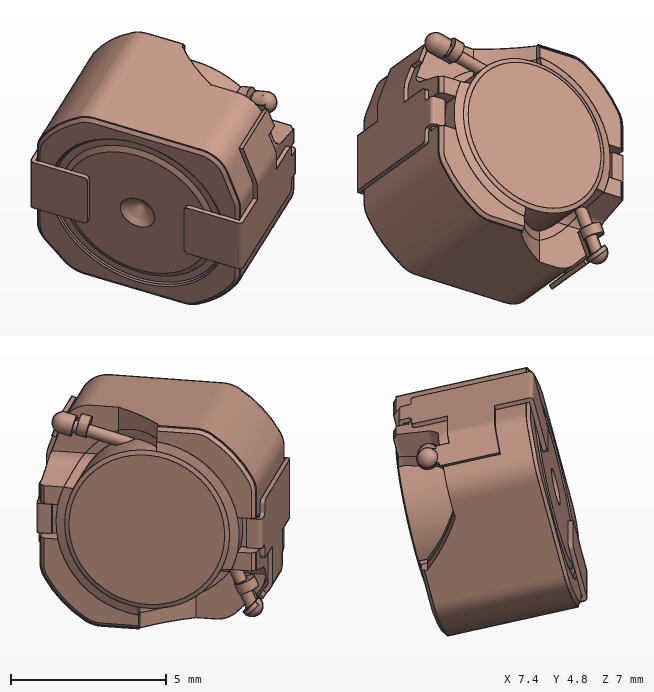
import cadquery as cq
import math


plate = 0.15
pad_half_width = 1.0
pad_tip_x = 1.68
plate_corner = 0.15
bend_radius = 0.13
side_top_y = 4.02
tab_half_width = 0.5
neck_fillet = 0.1
tab_top_y = 4.45
tab_tip_x = 3.2
arm_low_y = 1.27
arm_high_y = 2.82

ring_half_x = 3.55
ring_half_z = 3.5
ring_corner_circle = 3.94
ring_fillet = 1.0
ring_front_y = plate
ring_back_y = 4.67
rim_ledge = 0.04
rim_chamfer = 0.11
bore_radius = 3.0
bore_chamfer = 0.05
adhesive_front_y = ring_front_y + 2 * bore_chamfer
slot_half_width = 0.59
slot_floor_y = 4.14

window_floor_y = 3.16
window_reach_x = -0.3
window_foot_x = 1.27
window_shoulder_y = 4.46
window_bow = (0.34, 3.83)
window_reach_z = 1.2
window_foot_z = 1.85
window_bend = (1.49, 3.47)
window_bend_mid = (1.62, 3.3)

drum_radius = 2.7
drum_back_y = 4.8
drum_front_chamfer = 0.19
drum_back_chamfer_side = 0.15
drum_back_chamfer_depth = 0.05
dimple_radius = 0.6
dimple_inner_radius = 0.44
dimple_rim_depth = 0.16
dimple_depth = 0.45

wire_radius = 0.2
wire_y = 3.59
wire_length = 3.0
solder_radius = 0.35
crimp_length = 0.34
crimp_offset = 0.12
strip_half_width = 0.15
strip_low_y = 3.23
riser_top_y = 3.26
eye_neck = 0.25
eye_slot = 0.22
strip_top_y = 3.41

upper_corner = dict(
    angle=20, flat=3.885, arm=4.05, bend=1.05, tip_z=3.06,
    dome=(3.0, 3.0), wire_angle=14, barrel=0.37, crimp_start=0.51, eye=False,
)
lower_corner = dict(
    angle=224, flat=4.1, arm=4.333, bend=0.54, tip_z=-3.12,
    dome=(-3.2, -2.79), wire_angle=246, barrel=0.0, crimp_start=0.56, eye=True,
)
corners = [upper_corner, lower_corner]

far = 10.0


def direction(angle):
    """Unit vector (x, z) at an angle from X towards Z."""
    return math.cos(math.radians(angle)), math.sin(math.radians(angle))


def sketch_at(y):
    """Sketch plane across the coil axis, with sketch axes along X and Z."""
    return cq.Workplane("XZ", origin=(0, y, 0))


def rectangle(x0, x1, y0, y1, z0, z1):
    return cq.Workplane("XY").box(x1 - x0, y1 - y0, z1 - z0, centered=False).translate((x0, y0, z0))


def turned(points):
    """Solid of revolution about the coil axis from (radius, y) points."""
    return cq.Workplane("XY").polyline(points).close().revolve(360, (0, 0, 0), (0, 1, 0))


def half_space(angle, distance):
    """Block lying beyond a flat whose normal points at an angle."""
    block = rectangle(distance, distance + far, -far, far, -far, far)
    return block.rotate((0, 0, 0), (0, 1, 0), -angle)


def window(sign):
    """Space for one wire; sign 1 opens the +X+Z corner and -1 the -X-Z corner."""
    along_x = (
        cq.Workplane("XY", origin=(0, 0, -far))
        .moveTo(window_reach_x, far)
        .lineTo(window_reach_x, window_shoulder_y)
        .threePointArc(window_bow, (window_foot_x, window_floor_y))
        .lineTo(far, window_floor_y)
        .lineTo(far, far)
        .close()
        .extrude(2 * far)
    )
    along_z = (
        cq.Workplane("ZY", origin=(far, 0, 0))
        .moveTo(window_reach_z, far)
        .lineTo(window_reach_z, ring_back_y - rim_chamfer)
        .lineTo(*window_bend)
        .threePointArc(window_bend_mid, (window_foot_z, window_floor_y))
        .lineTo(far, window_floor_y)
        .lineTo(far, far)
        .close()
        .extrude(2 * far)
    )
    opening = along_x.intersect(along_z)
    return opening if sign > 0 else opening.rotate((0, 0, 0), (0, 1, 0), 180)


windows = [window(1), window(-1)]


def make_ring():
    side_front_y = ring_front_y + rim_chamfer
    side_back_y = ring_back_y - rim_chamfer
    length = side_back_y - side_front_y
    rounded_corners = (
        sketch_at(side_front_y)
        .circle(ring_corner_circle)
        .extrude(-length)
        .union(rectangle(0, far, 0, far, 0, far))
        .union(rectangle(-far, 0, 0, far, -far, 0))
    )
    body = sketch_at(side_front_y).rect(2 * ring_half_x, 2 * ring_half_z).extrude(-length)
    body = body.intersect(rounded_corners)
    for corner in corners:
        body = body.cut(half_space(corner["angle"], corner["flat"]))
    body = body.edges("|Y").fillet(ring_fillet)
    for side in ("<Y", ">Y"):
        outline = body.faces(side).wires().toPending().workplane().offset2D(-rim_ledge)
        rim = outline.extrude(rim_chamfer, combine=False, taper=45)
        body = body.union(rim)
    bore = turned([
        (0, ring_front_y),
        (bore_radius + bore_chamfer, ring_front_y),
        (bore_radius, ring_front_y + bore_chamfer),
        (bore_radius, ring_back_y),
        (0, ring_back_y),
    ])
    body = body.cut(bore)
    tab_slot = rectangle(-far, far, slot_floor_y, far, -slot_half_width, slot_half_width)
    body = body.cut(tab_slot)
    for opening in windows:
        body = body.cut(opening)
    return body


def make_drum():
    return turned([
        (0, ring_front_y + dimple_depth),
        (dimple_inner_radius, ring_front_y + dimple_rim_depth),
        (dimple_radius, ring_front_y),
        (drum_radius - drum_front_chamfer, ring_front_y),
        (drum_radius, adhesive_front_y),
        (drum_radius, drum_back_y - drum_back_chamfer_depth),
        (drum_radius - drum_back_chamfer_side, drum_back_y),
        (0, drum_back_y),
    ])


def make_adhesive():
    sleeve = turned([
        (drum_radius, adhesive_front_y),
        (bore_radius - bore_chamfer, adhesive_front_y),
        (bore_radius, ring_front_y + bore_chamfer),
        (bore_radius, ring_back_y),
        (drum_radius, drum_back_y - drum_back_chamfer_depth),
    ])
    for opening in windows:
        sleeve = sleeve.cut(opening)
    return sleeve


def along_wire(corner, radius, start, length):
    """Cylinder on a wire's axis; start is measured outwards from the dome centre."""
    x, z = corner["dome"]
    dx, dz = direction(corner["wire_angle"])
    base = cq.Vector(x + start * dx, wire_y, z + start * dz)
    return cq.Workplane(cq.Solid.makeCylinder(radius, length, base, cq.Vector(dx, 0, dz)))


def make_wire(corner, drum):
    return along_wire(corner, wire_radius, -wire_length, wire_length).cut(drum)


def make_arm(corner):
    """Arm that leaves the side plate, bends round the corner and rises to the wire."""
    side = math.copysign(1, corner["dome"][0])
    nx, nz = direction(corner["angle"])
    tx, tz = -nz, nx
    outer = ring_half_x + plate
    radius = corner["bend"]
    inner_radius = radius - plate
    centre_x = side * (outer - radius)
    centre_z = (corner["arm"] - radius - centre_x * nx) / nz
    half_x, half_z = direction((corner["angle"] + (0 if side > 0 else 180)) / 2)
    reach = (corner["tip_z"] - corner["arm"] * nz) / tz
    tip = (corner["arm"] * nx + reach * tx, corner["tip_z"])
    tip_inner = (tip[0] - plate * nx, tip[1] - plate * nz)

    def on_bend(r, ux, uz):
        return centre_x + r * ux, centre_z + r * uz

    outline = (
        sketch_at(arm_low_y)
        .moveTo(side * outer, 0)
        .lineTo(*on_bend(radius, side, 0))
        .threePointArc(on_bend(radius, half_x, half_z), on_bend(radius, nx, nz))
        .lineTo(*tip)
        .lineTo(*tip_inner)
        .lineTo(*on_bend(inner_radius, nx, nz))
        .threePointArc(on_bend(inner_radius, half_x, half_z), on_bend(inner_radius, side, 0))
        .lineTo(side * ring_half_x, 0)
        .close()
    )
    full = outline.extrude(-(wire_y + solder_radius - arm_low_y))
    arm = full.cut(rectangle(-far, far, riser_top_y, far, -far, far))
    keep = reach - 2 * solder_radius
    riser_cut = rectangle(-far, far, arm_high_y, far, -far, keep)
    riser_cut = riser_cut.rotate((0, 0, 0), (0, 1, 0), -corner["angle"])
    arm = arm.cut(riser_cut)
    if corner["eye"]:
        x, z = corner["dome"]
        eye = (
            cq.Workplane("XY")
            .circle(solder_radius)
            .extrude(far)
            .union(rectangle(-eye_neck, eye_neck, -solder_radius, 0, 0, far))
            .cut(rectangle(-wire_radius, far, -eye_slot, eye_slot, 0, far))
            .rotate((0, 0, 0), (0, 1, 0), 90 - corner["angle"])
            .translate((x - plate * nx, wire_y, z - plate * nz))
        )
        arm = arm.union(full.intersect(eye))
    return arm


def make_crimp(corner):
    """Sleeve round the wire and the strip below the wire that joins it to the arm."""
    crimp_end = -corner["crimp_start"] - crimp_length
    sleeve = along_wire(corner, solder_radius, crimp_end, crimp_length)
    x, z = corner["dome"]
    dx, dz = direction(corner["wire_angle"])
    outward = math.copysign(crimp_offset, x * dz - z * dx)
    sleeve = sleeve.translate((outward * dz, 0, -outward * dx))
    nx, nz = direction(corner["angle"])
    strip_end = corner["arm"] - plate / 2 - x * nx - z * nz
    strip = rectangle(
        crimp_end, strip_end,
        strip_low_y, strip_top_y, -strip_half_width, strip_half_width,
    )
    strip = strip.rotate((0, 0, 0), (0, 1, 0), -corner["wire_angle"]).translate((x, 0, z))
    return sleeve.union(strip)


def make_terminal(corner, wire):
    outer = ring_half_x + plate
    pad = rectangle(pad_tip_x, outer, 0, plate, -pad_half_width, pad_half_width)
    pad = pad.edges("|Y and <X").fillet(plate_corner)
    side = rectangle(ring_half_x, outer, 0, side_top_y, -pad_half_width, pad_half_width)
    side = side.edges("|X and >Y").fillet(plate_corner)
    neck = rectangle(ring_half_x, outer, 0, tab_top_y, -tab_half_width, tab_half_width)
    tab = rectangle(tab_tip_x, outer, tab_top_y - plate, tab_top_y, -tab_half_width, tab_half_width)
    wall = side.union(neck)
    for z in (-tab_half_width, tab_half_width):
        at_root = cq.selectors.NearestToPointSelector((ring_half_x + plate / 2, side_top_y, z))
        wall = wall.edges("|X").edges(at_root).fillet(neck_fillet)
    body = pad.union(wall).union(tab)
    body = body.edges("|Z and >X").edges("<Y or >Y").fillet(bend_radius)
    if corner["dome"][0] < 0:
        body = body.mirror("YZ")
    return body.union(make_arm(corner)).union(make_crimp(corner)).cut(wire)


def make_solder(corner, wire, terminal):
    """Domed solder bead on the end of a wire."""
    x, z = corner["dome"]
    bead = cq.Workplane("XY").sphere(solder_radius).translate((x, wire_y, z))
    if corner["barrel"]:
        bead = bead.union(along_wire(corner, solder_radius, -corner["barrel"], corner["barrel"]))
    if corner["eye"]:
        bead = bead.intersect(half_space(corner["angle"], corner["arm"] - plate))
    return bead.cut(wire).cut(terminal)


drum = make_drum()
wires = [make_wire(corner, drum) for corner in corners]
ring = make_ring()
adhesive = make_adhesive()
for wire in wires:
    ring = ring.cut(wire)
    adhesive = adhesive.cut(wire)
bodies = [*ring.vals(), *drum.vals(), *adhesive.vals()]
for corner, wire in zip(corners, wires):
    terminal = make_terminal(corner, wire)
    solder = make_solder(corner, wire, terminal)
    bodies += [*wire.vals(), *terminal.vals(), *solder.vals()]

result = cq.Compound.makeCompound(bodies)